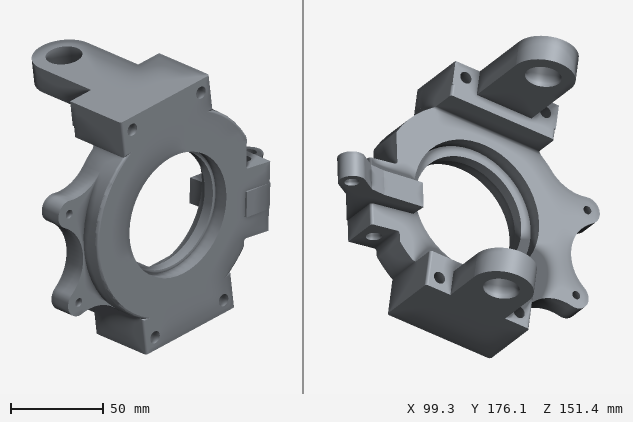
import cadquery as cq
import math

HOUSING_ROLL = 7.5
STEERING_ROLL = -2.0
EDGE_ROUND = 1.5

HUB_RADIUS = 60.0
HUB_DEPTH = 23.8
BORE_RADIUS = 34.0
SEAT_RADIUS = 40.0
REAR_BORE_RADIUS = 36.0
SEAT_DEPTH = 8.6

EAR_THICKNESS = 13.2
EAR_RADIUS = 8.0
EAR_HOLE_DIAMETER = 5.0
EAR_OFFSET = 67.8
EAR_PITCH = 54.8
EAR_BLEND_RADIUS = 25.0

SEAT_LENGTH = 40.1
SEAT_WIDTH = 66.5
SHELF_INNER = 50.0
SHELF_OUTER = 56.9
SEAT_TOP = 72.0
LIP_THICKNESS = 7.2
BOLT_DIAMETER = 7.0
BOLT_PITCH = 51.2
BOLT_HEIGHT = (SHELF_OUTER + SEAT_TOP) / 2

TONGUE_WIDTH = 35.2
TONGUE_HOLE_DIAMETER = 20.0
UPPER_EYE_X = -80.3
LOWER_EYE_X = -64.5

LUG_FLAT = 50.0
LUG_REACH = 68.0
LUG_WIDTH = 40.8
LUG_CENTRE_Z = -6.7
LUG_BOLT_DIAMETER = 8.8
LUG_BOLT_Y = 59.0

ARM_THICKNESS = 15.0
ARM_EYE = (-39.5, 89.8)
ARM_EYE_RADIUS = 7.5
ARM_EYE_HOLE_DIAMETER = 8.1
ARM_FRONT_TOE = (-33.3, 40.1)
ARM_TOE_BACK_Y = 40.8
ARM_FRONT_KINK = (-35.2, 66.4)
ARM_NECK_FRONT = (-37.7, 75.9)
ARM_NECK_REAR = (-26.0, 85.2)
ARM_REAR_SHOULDER = (0.0, 68.5)
ARM_REAR_PROUD = 1.4


def roll(shape, angle):
    return shape.rotate((0, 0, 0), (1, 0, 0), angle)


def box(x_range, y_range, z_range):
    lows, highs = zip(x_range, y_range, z_range)
    sizes = [high - low for low, high in zip(lows, highs)]
    return cq.Workplane("XY").box(*sizes, centered=False).translate(tuple(lows))


def disc(radius, x_start, x_end):
    return cq.Workplane("YZ", origin=(x_start, 0, 0)).circle(radius).extrude(x_end - x_start)


def mirrored_range(side, inner, outer):
    return sorted((side * inner, side * outer))


def bolt_holes(side):
    places = [(-BOLT_PITCH / 2, side * BOLT_HEIGHT), (BOLT_PITCH / 2, side * BOLT_HEIGHT)]
    plane = cq.Workplane("YZ", origin=(-SEAT_LENGTH, 0, 0))
    return plane.pushPoints(places).circle(BOLT_DIAMETER / 2).extrude(SEAT_LENGTH)


def along(centre, target, distance):
    """Point at a distance from centre toward target."""
    angle = math.atan2(target[1] - centre[1], target[0] - centre[0])
    return (centre[0] + distance * math.cos(angle), centre[1] + distance * math.sin(angle))


def caliper_ears():
    """Two ears blended into the hub and into each other by tangent arcs of one radius."""
    ear = (-EAR_OFFSET, EAR_PITCH / 2)
    reach = EAR_RADIUS + EAR_BLEND_RADIUS
    hub_reach = HUB_RADIUS + EAR_BLEND_RADIUS
    ear_distance = math.hypot(*ear)
    cosine = (hub_reach**2 + ear_distance**2 - reach**2) / (2 * hub_reach * ear_distance)
    blend_angle = math.atan2(ear[1], ear[0]) - math.acos(cosine)
    blend = (hub_reach * math.cos(blend_angle), hub_reach * math.sin(blend_angle))
    saddle = (-EAR_OFFSET - math.sqrt(reach**2 - ear[1] ** 2), 0)

    def flip(point):
        return (point[0], -point[1])

    hub_tangent = along(blend, (0, 0), EAR_BLEND_RADIUS)
    outer_tangent = along(ear, blend, EAR_RADIUS)
    inner_tangent = along(ear, saddle, EAR_RADIUS)
    blend_chord_middle = [(a + b) / 2 for a, b in zip(hub_tangent, outer_tangent)]
    blend_middle = along(blend, blend_chord_middle, EAR_BLEND_RADIUS)
    saddle_middle = (saddle[0] + EAR_BLEND_RADIUS, 0)
    ear_tip = (ear[0] - EAR_RADIUS, ear[1])
    outline = (
        cq.Workplane("YZ", origin=(-HUB_DEPTH, 0, 0))
        .moveTo(*hub_tangent)
        .threePointArc(blend_middle, outer_tangent)
        .threePointArc(ear_tip, inner_tangent)
        .threePointArc(saddle_middle, flip(inner_tangent))
        .threePointArc(flip(ear_tip), flip(outer_tangent))
        .threePointArc(flip(blend_middle), flip(hub_tangent))
        .lineTo(0, 0)
        .close()
    )
    return outline.extrude(EAR_THICKNESS)


def ear_holes():
    places = [(-EAR_OFFSET, -EAR_PITCH / 2), (-EAR_OFFSET, EAR_PITCH / 2)]
    plane = cq.Workplane("YZ", origin=(-HUB_DEPTH, 0, 0))
    return plane.pushPoints(places).circle(EAR_HOLE_DIAMETER / 2).extrude(EAR_THICKNESS)


def clevis_seat_block(side):
    half = SEAT_WIDTH / 2
    block = box((-SEAT_LENGTH, 0), (-half, half), mirrored_range(side, SHELF_INNER, SEAT_TOP))
    return block.edges("|Z and <X").fillet(EDGE_ROUND)


def clevis_pocket(side):
    half = SEAT_WIDTH / 2
    return box((-SEAT_LENGTH, -LIP_THICKNESS), (-half, half), mirrored_range(side, SHELF_OUTER, SEAT_TOP))


def near(x, y, z, reach=0.5):
    """Selector for an edge whose centre is near a point."""
    return cq.selectors.BoxSelector((x - reach, y - reach, z - reach), (x + reach, y + reach, z + reach))


def rolled_housing_blank():
    """Hub and clevis seats in the housing frame, with the rounds where they meet."""
    blank = disc(HUB_RADIUS, -HUB_DEPTH, 0)
    for side in (-1, 1):
        blank = blank.union(clevis_seat_block(side))
    for side in (-1, 1):
        blank = blank.edges(near(-HUB_DEPTH, 0, side * SHELF_INNER)).fillet(EDGE_ROUND)
    rear_edges = blank.faces(">X").edges("not(<Z or >Z)")
    return rear_edges.fillet(EDGE_ROUND)


def lug_z(offset):
    return LUG_CENTRE_Z + offset


def flat_trim():
    """Sliver between the hub circle and the flat beside the lug, in the steering frame."""
    half_chord = math.sqrt(HUB_RADIUS**2 - LUG_FLAT**2)
    return box((-HUB_DEPTH, 0), (LUG_FLAT, HUB_RADIUS), (-half_chord, half_chord))


def arm_slot():
    """Slot through the lug for the steering arm, in the steering frame."""
    half = ARM_THICKNESS / 2
    return box((-HUB_DEPTH, 0), (LUG_FLAT, LUG_REACH), (lug_z(-half), lug_z(half)))


def steering_lug():
    half = LUG_WIDTH / 2
    lug = box((-HUB_DEPTH, 0), (BORE_RADIUS, LUG_REACH), (lug_z(-half), lug_z(half)))
    return lug.edges("|Z and <X and >Y").fillet(EDGE_ROUND)


def lug_bolt_hole():
    half = LUG_WIDTH / 2
    plane = cq.Workplane("XY", origin=(-HUB_DEPTH / 2, LUG_BOLT_Y, lug_z(-half)))
    return plane.circle(LUG_BOLT_DIAMETER / 2).extrude(LUG_WIDTH)


def make_housing():
    blank = roll(rolled_housing_blank(), HOUSING_ROLL - STEERING_ROLL)
    blank = blank.cut(flat_trim()).union(steering_lug())
    for offset in (-LUG_WIDTH / 2, LUG_WIDTH / 2):
        blank = blank.edges(near(-HUB_DEPTH / 2, LUG_FLAT, lug_z(offset))).fillet(EDGE_ROUND)
    blank = blank.cut(arm_slot()).cut(lug_bolt_hole())
    housing = roll(blank, STEERING_ROLL - HOUSING_ROLL)
    housing = housing.union(caliper_ears()).cut(ear_holes())
    for side in (-1, 1):
        housing = housing.cut(clevis_pocket(side)).cut(bolt_holes(side))
    housing = housing.cut(disc(BORE_RADIUS, -HUB_DEPTH, 0))
    housing = housing.cut(disc(SEAT_RADIUS, -HUB_DEPTH, SEAT_DEPTH - HUB_DEPTH))
    housing = housing.cut(disc(REAR_BORE_RADIUS, -SEAT_DEPTH, 0))
    return roll(housing, HOUSING_ROLL)


def make_clevis(side, eye_x, rounded):
    z_range = mirrored_range(side, SHELF_OUTER, SEAT_TOP)
    half = SEAT_WIDTH / 2
    base = box((-SEAT_LENGTH, -LIP_THICKNESS), (-half, half), z_range)
    if rounded:
        base = base.edges("|Z and <X").fillet(EDGE_ROUND)
    base = base.cut(bolt_holes(side))
    half_tongue = TONGUE_WIDTH / 2
    plane = cq.Workplane("XY", origin=(0, 0, z_range[0]))
    height = z_range[1] - z_range[0]
    tongue = box((eye_x, -SEAT_LENGTH), (-half_tongue, half_tongue), z_range)
    tongue = tongue.union(plane.center(eye_x, 0).circle(half_tongue).extrude(height))
    hole = plane.center(eye_x, 0).circle(TONGUE_HOLE_DIAMETER / 2).extrude(height)
    return roll(base.union(tongue).cut(hole), HOUSING_ROLL)


def eye_tangent(point, side):
    """Where the line from a point touches the eye circle; side picks one of the two tangents."""
    distance = math.dist(point, ARM_EYE)
    toward = math.atan2(point[1] - ARM_EYE[1], point[0] - ARM_EYE[0])
    angle = toward + side * math.acos(ARM_EYE_RADIUS / distance)
    return (
        ARM_EYE[0] + ARM_EYE_RADIUS * math.cos(angle),
        ARM_EYE[1] + ARM_EYE_RADIUS * math.sin(angle),
    )


def make_steering_arm():
    front = eye_tangent(ARM_NECK_FRONT, -1)
    rear = eye_tangent(ARM_NECK_REAR, 1)
    tip = (ARM_EYE[0], ARM_EYE[1] + ARM_EYE_RADIUS)
    outline = (
        cq.Workplane("XY", origin=(0, 0, lug_z(-ARM_THICKNESS / 2)))
        .moveTo(*ARM_FRONT_TOE)
        .lineTo(*ARM_FRONT_KINK)
        .lineTo(*ARM_NECK_FRONT)
        .lineTo(*front)
        .threePointArc(tip, rear)
        .lineTo(*ARM_NECK_REAR)
        .lineTo(*ARM_REAR_SHOULDER)
        .lineTo(ARM_REAR_PROUD, LUG_FLAT)
        .lineTo(-HUB_DEPTH, LUG_FLAT)
        .lineTo(-HUB_DEPTH, ARM_TOE_BACK_Y)
        .close()
    )
    arm = outline.extrude(ARM_THICKNESS)
    eye = cq.Workplane("XY", origin=(*ARM_EYE, lug_z(-ARM_THICKNESS / 2)))
    arm = arm.cut(eye.circle(ARM_EYE_HOLE_DIAMETER / 2).extrude(ARM_THICKNESS))
    return roll(arm.cut(lug_bolt_hole()), STEERING_ROLL)


housing = make_housing()
upper_clevis = make_clevis(1, UPPER_EYE_X, rounded=False)
lower_clevis = make_clevis(-1, LOWER_EYE_X, rounded=True)
steering_arm = make_steering_arm()
result = cq.Compound.makeCompound(
    [housing.val(), upper_clevis.val(), lower_clevis.val(), steering_arm.val()]
)